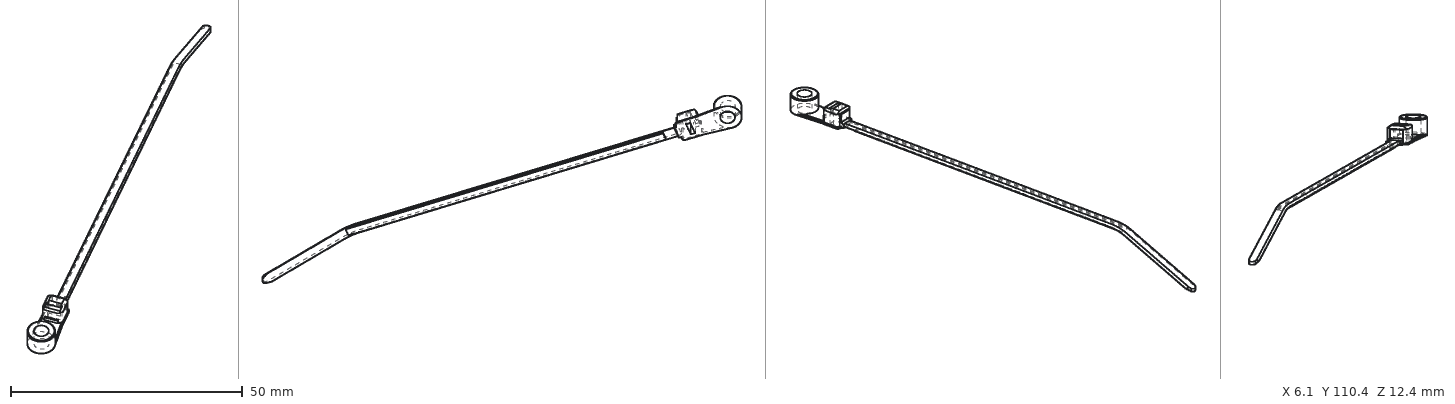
import cadquery as cq
import math

overall_length = 110.4
tail_drop = 8.4

eyelet_diameter = 6.1
hole_diameter = 3.2
eyelet_height = 4.0
eyelet_chamfer = 0.2

band_height = 0.3
bevel_inset = 0.3

tab_thickness = 0.5
tab_half_width_eyelet = eyelet_diameter / 2
tab_half_width_head = 2.5

head_front = 6.6
head_back = 10.9
head_half_width = 2.3
head_height = eyelet_height
head_front_lip_height = 3.8
head_top_half_width = 1.49
head_bevel_base = 3.3
head_back_bevel = 0.2
head_front_bevel = 0.4
head_front_radius = 1.0
head_back_radius = 0.5
flange_front = 6.0
flange_half_width = 2.5
root_front = 6.3
root_ledge_height = 1.3
root_back = 11.3
root_end = 11.8
root_back_height = 3.2

slot_front = 8.1
slot_back = 9.0
slot_width = 2 * head_top_half_width

strap_width = 2.4
strap_thickness = 1.0
relief_end = 14.6
bend_angle = 23.5
bend_radius = 8.8
tip_width = 1.4
tip_length = 1.5
tip_crown = 0.3

tip_end = overall_length - eyelet_diameter / 2


def box(width, front, back, bottom, top):
    """Box centred on X between two Y positions and two Z levels."""
    return cq.Workplane("XY").box(width, back - front, top - bottom, centered=(True, False, False)).translate(
        (0, front, bottom)
    )


def side_prism(points, width):
    """Extrude a (Y, Z) outline symmetrically along X."""
    return cq.Workplane("YZ").polyline(points).close().extrude(width / 2, both=True)


def make_eyelet():
    eyelet = cq.Workplane("XY").circle(eyelet_diameter / 2).extrude(eyelet_height)
    return eyelet.faces(">Z").edges().chamfer(eyelet_chamfer)


def tab_outline(z, inset):
    """Tapered tab outline at height z, with both long sides moved inward by inset."""
    near = tab_half_width_eyelet - inset
    far = tab_half_width_head - inset
    return cq.Workplane("XY", origin=(0, 0, z)).polyline(
        [(-near, 0), (near, 0), (far, head_front), (-far, head_front)]
    ).close()


def make_tab():
    band = tab_outline(0, 0).extrude(band_height)
    rise = tab_thickness - band_height
    draft = math.degrees(math.atan2(bevel_inset, rise))
    bevel = tab_outline(band_height, 0).extrude(rise, taper=draft)
    core = tab_outline(0, bevel_inset).extrude(tab_thickness)
    return band.union(bevel).union(core)


def make_head():
    body = box(2 * head_half_width, head_front, head_back, 0, head_height)
    body = body.edges("|Z and <Y").fillet(head_front_radius)
    body = body.edges("|Z and >Y").fillet(head_back_radius)

    across = (
        cq.Workplane("XZ")
        .polyline([
            (-head_half_width, 0),
            (head_half_width, 0),
            (head_half_width, head_bevel_base),
            (head_top_half_width, head_height),
            (-head_top_half_width, head_height),
            (-head_half_width, head_bevel_base),
        ])
        .close()
        .extrude(-root_end)
    )
    slot_middle = (slot_front + slot_back) / 2
    along = side_prism(
        [
            (head_front, 0),
            (head_back, 0),
            (head_back, head_bevel_base),
            (head_back - head_back_bevel, head_height),
            (slot_middle, head_height),
            (slot_middle, head_front_lip_height),
            (head_front + head_front_bevel, head_front_lip_height),
            (head_front, head_bevel_base),
        ],
        2 * head_half_width,
    )
    body = body.intersect(across).intersect(along)

    flange = box(2 * flange_half_width, flange_front, root_back, 0, band_height)
    flange = flange.edges("|Z").fillet(head_back_radius)
    roots = side_prism(
        [
            (root_front, 0),
            (root_end, 0),
            (root_end, strap_thickness),
            (root_back, root_ledge_height),
            (root_back, root_back_height),
            (head_back, head_bevel_base),
            (slot_back, head_bevel_base),
            (head_front, root_ledge_height),
            (root_front, root_ledge_height),
        ],
        2 * head_top_half_width,
    )
    return body.union(flange).union(roots)


def make_strap():
    angle = math.radians(bend_angle)
    slope = math.tan(angle)
    bend_corner = tip_end - (band_height + tail_drop) / slope
    bend_start = bend_corner - bend_radius * math.tan(angle / 2)

    def bend_point(turned):
        """Point on the bend after turning down by the given angle."""
        return (
            bend_start + bend_radius * math.sin(turned),
            band_height - bend_radius * (1 - math.cos(turned)),
        )

    path_end = tip_end + strap_thickness
    path = (
        cq.Workplane("YZ")
        .moveTo(head_back, band_height)
        .lineTo(bend_start, band_height)
        .threePointArc(bend_point(angle / 2), bend_point(angle))
        .lineTo(path_end, band_height - (path_end - bend_corner) * slope)
    )
    half = strap_width / 2
    strip = (
        cq.Workplane("XZ", origin=(0, head_back, 0))
        .polyline([
            (-half, band_height),
            (half, band_height),
            (half - bevel_inset, strap_thickness),
            (bevel_inset - half, strap_thickness),
        ])
        .close()
        .sweep(path)
    )

    tip_start = tip_end - tip_length
    plan = (
        cq.Workplane("XY", origin=(0, 0, -2 * tail_drop))
        .moveTo(-half, head_back)
        .lineTo(half, head_back)
        .lineTo(half, tip_start)
        .lineTo(tip_width / 2, tip_end - tip_crown)
        .threePointArc((0, tip_end), (-tip_width / 2, tip_end - tip_crown))
        .lineTo(-half, tip_start)
        .close()
        .extrude(3 * tail_drop)
    )
    band_end = bend_corner + band_height / slope
    band = box(strap_width - 2 * bevel_inset, relief_end, band_end, 0, band_height)
    return strip.intersect(plan).union(band)


hole = cq.Workplane("XY").circle(hole_diameter / 2).extrude(eyelet_height)
slot = box(slot_width, slot_front, slot_back, 0, head_height)

result = make_eyelet().union(make_tab()).union(make_head()).union(make_strap()).cut(hole).cut(slot)